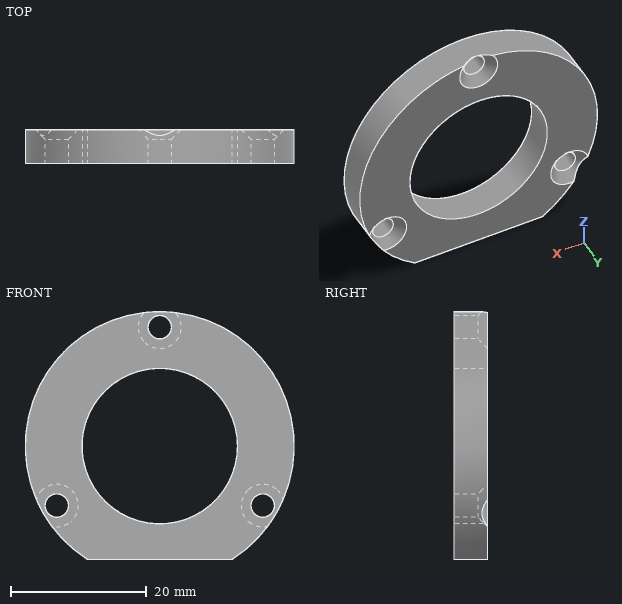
import cadquery as cq

outer_diameter = 39.6
thickness = 5.0
overall_height = 36.5
bore_diameter = 22.85

hole_count = 3
hole_circle_radius = 17.5
first_hole_angle = 90.0
full_turn = 360.0
hole_diameter = 3.4
countersink_diameter = 6.3
countersink_angle = 90.0

flat_height = outer_diameter / 2 - overall_height


def make_ring():
    """Disc with a central bore, cut off below the flat."""
    ring = (
        cq.Workplane("XZ", origin=(0, thickness, 0))
        .circle(outer_diameter / 2)
        .circle(bore_diameter / 2)
        .extrude(thickness)
    )
    above_flat = cq.Workplane("XY", origin=(0, thickness / 2, flat_height)).box(
        outer_diameter, thickness, overall_height, centered=(True, True, False)
    )
    return ring.intersect(above_flat)


def drill_screw_holes(body):
    """Equally spaced countersunk holes, the first one at the top."""
    return (
        body.faces(">Y")
        .workplane(origin=(0, thickness, 0))
        .polarArray(hole_circle_radius, first_hole_angle, full_turn, hole_count)
        .cskHole(hole_diameter, countersink_diameter, countersink_angle)
    )


result = drill_screw_holes(make_ring())